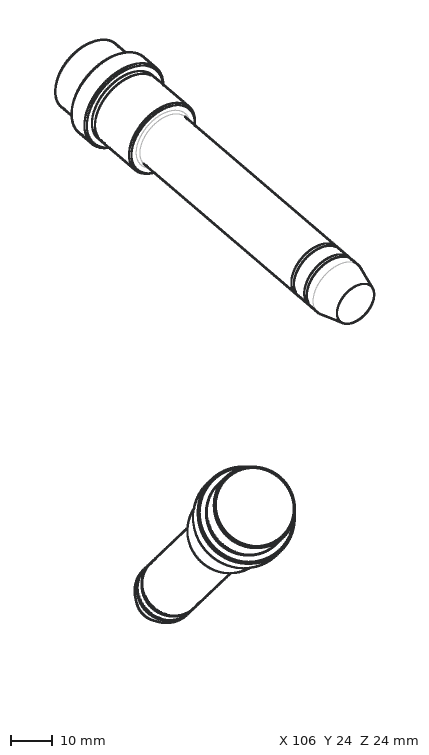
import cadquery as cq

length = 106.0
head_diameter = 20.0
collar_diameter = 24.0
shank_diameter = 15.0

collar_start = 9.0
collar_end = 14.9
shoulder_end = 30.0
shank_groove_starts = (90.4, 95.5)

edge_chamfer = 0.4
shank_root_fillet = 0.6

head_relief_width = 1.0
shoulder_relief_width = 1.2
relief_depth = 0.3

shank_groove_width = 1.0
shank_groove_depth = 0.3

tip_length = 7.0
tip_half_angle = 15.0

axis_start = -length / 2


def cylinder(start, end, diameter):
    """Solid disc along X between two distances from the head face."""
    plane = cq.Workplane("YZ", origin=(axis_start + start, 0, 0))
    return plane.circle(diameter / 2).extrude(end - start)


def ring_groove(start, width, diameter, depth):
    """Ring that cuts a groove with a circular-arc bottom around a cylinder."""
    radius = diameter / 2
    groove_start = axis_start + start
    profile = (
        cq.Workplane("XY")
        .moveTo(groove_start, radius)
        .threePointArc(
            (groove_start + width / 2, radius - depth),
            (groove_start + width, radius),
        )
        .close()
    )
    return profile.revolve(360, (0, 0, 0), (1, 0, 0))


body = cylinder(0, shoulder_end, head_diameter).faces("<X or >X").edges().chamfer(edge_chamfer)
collar = cylinder(collar_start, collar_end, collar_diameter).edges().chamfer(edge_chamfer)

reliefs = (
    (collar_start - head_relief_width, head_relief_width),
    (collar_end, shoulder_relief_width),
)
for relief_start, relief_width in reliefs:
    body = body.cut(ring_groove(relief_start, relief_width, head_diameter, relief_depth))

shank = cylinder(shoulder_end, length - tip_length, shank_diameter)
tip = shank.faces(">X").workplane().circle(shank_diameter / 2).extrude(
    tip_length, combine=False, taper=tip_half_angle
)

for groove_start in shank_groove_starts:
    shank = shank.cut(
        ring_groove(groove_start, shank_groove_width, shank_diameter, shank_groove_depth)
    )

pin = body.union(collar).union(shank).union(tip)

root_position = cq.Vector(axis_start + shoulder_end, 0, 0)
root_margin = 0.1
root_edge = cq.selectors.BoxSelector(
    root_position - cq.Vector(root_margin, shank_diameter, shank_diameter),
    root_position + cq.Vector(root_margin, shank_diameter, shank_diameter),
)
result = pin.edges(root_edge).edges(cq.selectors.RadiusNthSelector(0)).fillet(shank_root_fillet)